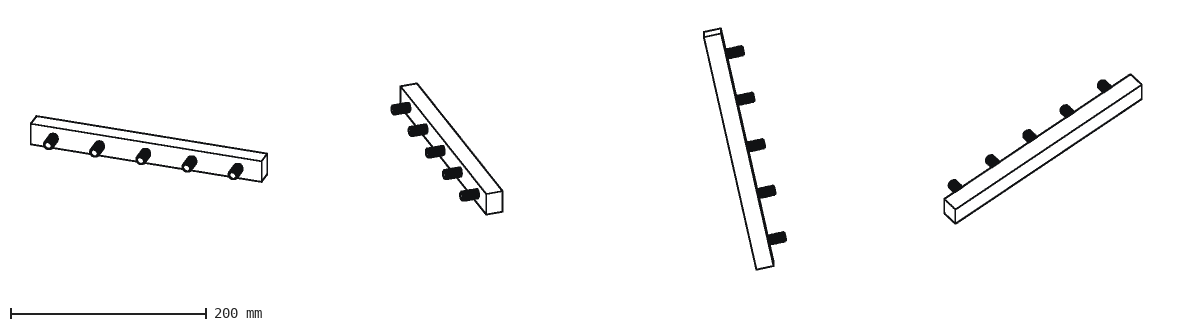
import cadquery as cq
import math

bar_length = 250.0
bar_depth = 18.0
bar_height = 24.0

stud_count = 5
stud_spacing = bar_length / stud_count
stud_length = 18.0
crest_radius = 5.0
root_radius = 3.8
tip_chamfer = crest_radius - root_radius

thread_turns = 12
crest_share = 1 / 8
root_share = 1 / 8
spiral_points = 24

envelope_clearance = 0.8
envelope_radius = crest_radius + envelope_clearance

crest_direction = math.pi / 2
root_direction = -math.pi / 2
crest_half_angle = math.pi * crest_share
root_half_angle = math.pi * root_share


def polar_point(radius, angle):
    """Point in the XY plane at a radius and an angle in radians."""
    return (radius * math.cos(angle), radius * math.sin(angle))


def make_bar():
    """Plain rectangular bar with its front face in the plane Y = 0."""
    return cq.Workplane("XY").box(bar_length, bar_depth, bar_height).translate((0, bar_depth / 2, 0))


def flank_point(fraction, side):
    """Point on a spiral flank: fraction runs from 0 at the crest to 1 at the root, side is +1 or -1."""
    flank_angle = math.pi - crest_half_angle - root_half_angle
    radius = crest_radius + (root_radius - crest_radius) * fraction
    angle = crest_direction + side * (crest_half_angle + flank_angle * fraction)
    return polar_point(radius, angle)


def make_thread():
    """Thread along +Z: its cross-section, one spiral down each flank, twisted once per pitch."""
    section = (
        cq.Workplane("XY")
        .parametricCurve(lambda t: flank_point(t, 1), N=spiral_points, makeWire=False)
        .moveTo(*flank_point(1, 1))
        .threePointArc(polar_point(root_radius, root_direction), flank_point(1, -1))
        .parametricCurve(lambda t: flank_point(1 - t, -1), N=spiral_points, makeWire=False)
        .moveTo(*flank_point(0, -1))
        .threePointArc(polar_point(crest_radius, crest_direction), flank_point(0, 1))
        .wire()
    )
    return section.twistExtrude(stud_length, 360 * thread_turns)


def make_envelope():
    """Cylinder around the thread with a 45 degree cone that chamfers the crests at the free end."""
    envelope = cq.Workplane("XY").circle(envelope_radius).extrude(stud_length)
    return envelope.faces(">Z").chamfer(tip_chamfer + envelope_clearance)


def make_stud():
    """Threaded stud pointing along -Y, with its base centred on the origin."""
    return make_thread().intersect(make_envelope()).solids().rotate((0, 0, 0), (1, 0, 0), 90)


bar = make_bar()

stud = make_stud()
studs = []
for index in range(stud_count):
    x = (index - (stud_count - 1) / 2) * stud_spacing
    studs.append(stud.translate((x, 0, 0)))

result = cq.Compound.makeCompound([bar.val(), *[placed.val() for placed in studs]])